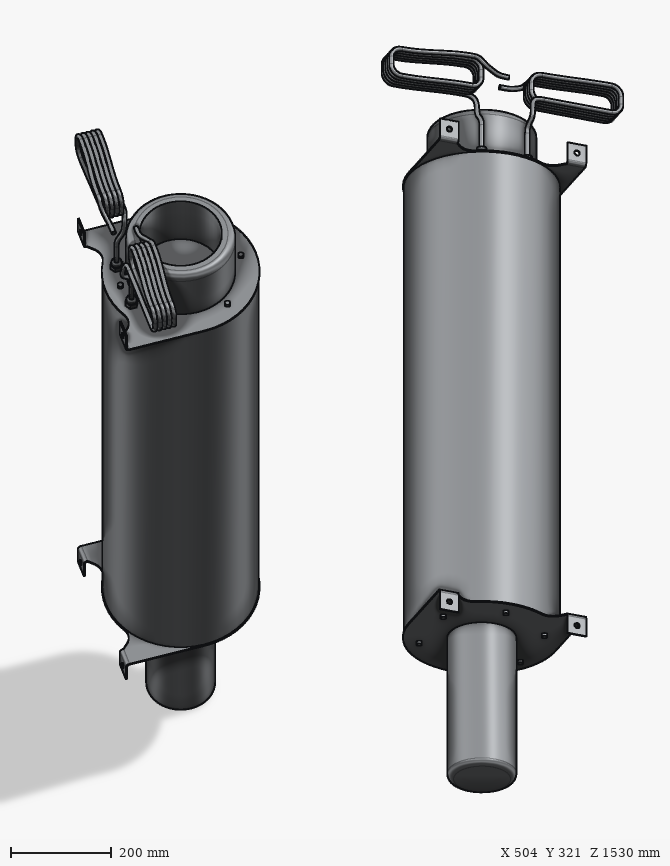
import cadquery as cq
import math

PIPE_DIAMETER = 138.0
PIPE_END_FILLET = 12.0
DRUM_DIAMETER = 310.0
DRUM_BOTTOM = 317.0
DRUM_TOP = 1318.0
DRUM_MIDDLE = (DRUM_BOTTOM + DRUM_TOP) / 2
NECK_DIAMETER = 217.0
NECK_BORE_DIAMETER = 164.0
NECK_TOP = 1442.0
NECK_RIM_FILLET = 15.0

PLATE_THICKNESS = 3.0
PLATE_DIAMETER = 314.0
PLATE_RADIUS = PLATE_DIAMETER / 2
PLATE_OUTER_FACE = DRUM_TOP + PLATE_THICKNESS
PLATE_DEPTH = 321.0
FLAP_FRONT = PLATE_RADIUS - PLATE_DEPTH
FLAP_WIDTH = 40.0
FLAP_HEIGHT = 46.0
FLAP_HOLE_DIAMETER = 11.0
FLAP_HOLE_HEIGHT = 26.0
FLAP_INNER_X = PLATE_RADIUS - FLAP_WIDTH
FLAP_CENTER_X = PLATE_RADIUS - FLAP_WIDTH / 2
BEND_RADIUS = 8.0
FOOT_FILLET = 30.0

BOLT_COUNT = 6
BOLT_CIRCLE_RADIUS = 125.0
BOLT_HEAD_DIAMETER = 11.0
BOLT_HEAD_HEIGHT = 6.0

GLAND_X = 49.0
GLAND_Y = -118.0
NUT_ACROSS_FLATS = 23.0
NUT_HEIGHT = 10.0
GLAND_CAP_DIAMETER = 20.0
GLAND_CAP_HEIGHT = 9.0
GLAND_CAP_FILLET = 3.0

CABLE_DIAMETER = 9.0
COIL_TURNS = 5
COIL_PITCH = 10.0
COIL_TOP = 1530 - CABLE_DIAMETER / 2
COIL_BOTTOM = 1466.0
COIL_CORNER = 21.0
COIL_INNER_X = 57.0
LEAD_FORK_Z = 1391.0
LEAD_BRANCH = (52.0, 1422.0)
LEAD_BEND = (55.0, 1454.0)
TAIL_BEND = (55.0, 1514.0)
TAIL_SAG = (35.0, 1503.0)
TAIL_END_Z = 1497.0


def disc(diameter, bottom, top):
    return cq.Workplane("XY").workplane(offset=bottom).circle(diameter / 2).extrude(top - bottom)


def make_foot(side):
    """Flat foot that reaches from the disc to one flap; side is -1 or 1."""
    foot_front = FLAP_FRONT + BEND_RADIUS
    outline = [
        (0, 0),
        (side * PLATE_RADIUS, 0),
        (side * PLATE_RADIUS, foot_front),
        (side * FLAP_INNER_X, foot_front),
        (0, foot_front + FLAP_INNER_X),
    ]
    return cq.Workplane("XY").workplane(offset=DRUM_TOP).polyline(outline).close().extrude(PLATE_THICKNESS)


def make_flap(side):
    """Sheet strip that bends from the foot up into a mounting flap with a screw hole."""
    inner_radius = BEND_RADIUS - PLATE_THICKNESS
    diagonal = math.sqrt(0.5)
    flap = (
        cq.Workplane("YZ", origin=(side * FLAP_CENTER_X, FLAP_FRONT + BEND_RADIUS, DRUM_TOP + BEND_RADIUS))
        .moveTo(0, -BEND_RADIUS)
        .threePointArc((-BEND_RADIUS * diagonal, -BEND_RADIUS * diagonal), (-BEND_RADIUS, 0))
        .lineTo(-BEND_RADIUS, FLAP_HEIGHT - BEND_RADIUS)
        .lineTo(-inner_radius, FLAP_HEIGHT - BEND_RADIUS)
        .lineTo(-inner_radius, 0)
        .threePointArc((-inner_radius * diagonal, -inner_radius * diagonal), (0, -inner_radius))
        .close()
        .extrude(FLAP_WIDTH / 2, both=True)
    )
    hole = (
        cq.Workplane("XZ", origin=(side * FLAP_CENTER_X, FLAP_FRONT, DRUM_TOP + FLAP_HOLE_HEIGHT))
        .circle(FLAP_HOLE_DIAMETER / 2)
        .extrude(-PLATE_THICKNESS)
    )
    return flap.cut(hole)


def make_end_plate():
    """Upper end plate with its feet, flaps and bolt heads."""
    plate = disc(PLATE_DIAMETER, DRUM_TOP, PLATE_OUTER_FACE)
    for side in (-1, 1):
        plate = plate.union(make_foot(side))
    front_notch = cq.selectors.BoxSelector(
        (-FLAP_INNER_X, FLAP_FRONT + 2 * BEND_RADIUS, DRUM_TOP),
        (FLAP_INNER_X, -FLAP_INNER_X, PLATE_OUTER_FACE),
    )
    plate = plate.edges("|Z").edges(front_notch).fillet(FOOT_FILLET)
    for side in (-1, 1):
        plate = plate.union(make_flap(side))
    bolts = (
        cq.Workplane("XY")
        .workplane(offset=PLATE_OUTER_FACE)
        .polarArray(BOLT_CIRCLE_RADIUS, 90, 360, BOLT_COUNT)
        .circle(BOLT_HEAD_DIAMETER / 2)
        .extrude(BOLT_HEAD_HEIGHT)
    )
    return plate.union(bolts)


def make_housing():
    pipe = disc(PIPE_DIAMETER, 0, DRUM_BOTTOM).faces("<Z").edges().fillet(PIPE_END_FILLET)
    drum = disc(DRUM_DIAMETER, DRUM_BOTTOM, DRUM_TOP)
    neck = disc(NECK_DIAMETER, DRUM_TOP, NECK_TOP).faces(">Z").edges().fillet(NECK_RIM_FILLET)
    upper_plate = make_end_plate()
    lower_plate = upper_plate.mirror("XY", (0, 0, DRUM_MIDDLE))
    bore = disc(NECK_BORE_DIAMETER, PLATE_OUTER_FACE, NECK_TOP)
    return drum.union(upper_plate).union(lower_plate).union(pipe).union(neck).cut(bore).solids()


def line(start, end):
    return cq.Edge.makeLine(cq.Vector(*start), cq.Vector(*end))


def curve(points, start_direction, end_direction):
    return cq.Edge.makeSpline(
        [cq.Vector(*point) for point in points],
        tangents=[cq.Vector(*start_direction), cq.Vector(*end_direction)],
    )


def corner(center_x, y, center_z, first_angle, side):
    """Quarter turn in an XZ plane, counter-clockwise when side is 1, mirrored in X when it is -1."""
    points = []
    for angle in (first_angle, first_angle + 45, first_angle + 90):
        x = center_x + side * COIL_CORNER * math.cos(math.radians(angle))
        z = center_z + COIL_CORNER * math.sin(math.radians(angle))
        points.append(cq.Vector(x, y, z))
    return cq.Edge.makeThreePointArc(*points)


def cable_path(side, outer_x, first_y, winding, lead_y, tail_y, tail_end_y, outer_drop):
    """Centre line from the gland to the tail end.

    Turns stack in the Y direction given by winding (-1 or 1), and the outer end of
    the coil hangs lower than its inner end by outer_drop.
    """
    outward = (side, 0, 0)
    inward = (-side, 0, 0)
    near_x = side * (COIL_INNER_X + COIL_CORNER)
    far_x = side * (outer_x - COIL_CORNER)
    low_z = COIL_BOTTOM + COIL_CORNER
    high_z = COIL_TOP - COIL_CORNER
    outer_low_z = low_z - outer_drop
    outer_high_z = high_z - outer_drop
    outer_bottom = COIL_BOTTOM - outer_drop
    outer_top = COIL_TOP - outer_drop
    gland_x = side * GLAND_X

    edges = [
        line((gland_x, GLAND_Y, PLATE_OUTER_FACE + NUT_HEIGHT), (gland_x, GLAND_Y, LEAD_FORK_Z)),
        curve(
            [
                (gland_x, GLAND_Y, LEAD_FORK_Z),
                (side * LEAD_BRANCH[0], lead_y, LEAD_BRANCH[1]),
                (side * LEAD_BEND[0], (lead_y + first_y) / 2, LEAD_BEND[1]),
                (near_x, first_y, COIL_BOTTOM),
            ],
            (0, 0, 1),
            outward,
        ),
    ]
    for turn in range(COIL_TURNS):
        y = first_y + winding * COIL_PITCH * turn
        next_y = y + winding * COIL_PITCH
        edges += [
            curve([(near_x, y, COIL_BOTTOM), (far_x, y, outer_bottom)], outward, outward),
            corner(far_x, y, outer_low_z, -90, side),
            line((side * outer_x, y, outer_low_z), (side * outer_x, y, outer_high_z)),
            corner(far_x, y, outer_high_z, 0, side),
        ]
        if turn < COIL_TURNS - 1:
            edges += [
                curve([(far_x, y, outer_top), (near_x, next_y, COIL_TOP)], inward, inward),
                corner(near_x, next_y, high_z, 90, side),
                line((side * COIL_INNER_X, next_y, high_z), (side * COIL_INNER_X, next_y, low_z)),
                corner(near_x, next_y, low_z, 180, side),
            ]
    edges += [
        curve([(far_x, y, outer_top), (near_x, tail_y, COIL_TOP)], inward, inward),
        curve(
            [
                (near_x, tail_y, COIL_TOP),
                (side * TAIL_BEND[0], tail_y, TAIL_BEND[1]),
                (side * TAIL_SAG[0], (tail_y + tail_end_y) / 2, TAIL_SAG[1]),
                (0, tail_end_y, TAIL_END_Z),
            ],
            inward,
            inward,
        ),
    ]
    return cq.Wire.assembleEdges(edges)


def make_cable(side, outer_x, first_y, winding, lead_y, tail_y, tail_end_y, outer_drop):
    """One cable with the gland it comes out of."""
    path = cable_path(side, outer_x, first_y, winding, lead_y, tail_y, tail_end_y, outer_drop)
    start = (side * GLAND_X, GLAND_Y, PLATE_OUTER_FACE + NUT_HEIGHT)
    cable = cq.Workplane("XY", origin=start).circle(CABLE_DIAMETER / 2).sweep(path)
    nut = (
        cq.Workplane("XY", origin=(side * GLAND_X, GLAND_Y, PLATE_OUTER_FACE))
        .polygon(6, NUT_ACROSS_FLATS, circumscribed=True)
        .extrude(NUT_HEIGHT)
    )
    cap = nut.faces(">Z").workplane().circle(GLAND_CAP_DIAMETER / 2).extrude(GLAND_CAP_HEIGHT)
    gland = cap.faces(">Z").edges().fillet(GLAND_CAP_FILLET)
    return gland.union(cable).solids()


housing = make_housing()
left_cable = make_cable(
    side=-1, outer_x=250.0, first_y=-95.0, winding=-1, lead_y=-104.0, tail_y=-147.0, tail_end_y=-140.0, outer_drop=8.0
)
right_cable = make_cable(
    side=1, outer_x=245.0, first_y=-132.0, winding=1, lead_y=-136.0, tail_y=-81.0, tail_end_y=-93.0, outer_drop=0
)

result = cq.Compound.makeCompound([housing.val(), left_cable.val(), right_cable.val()])